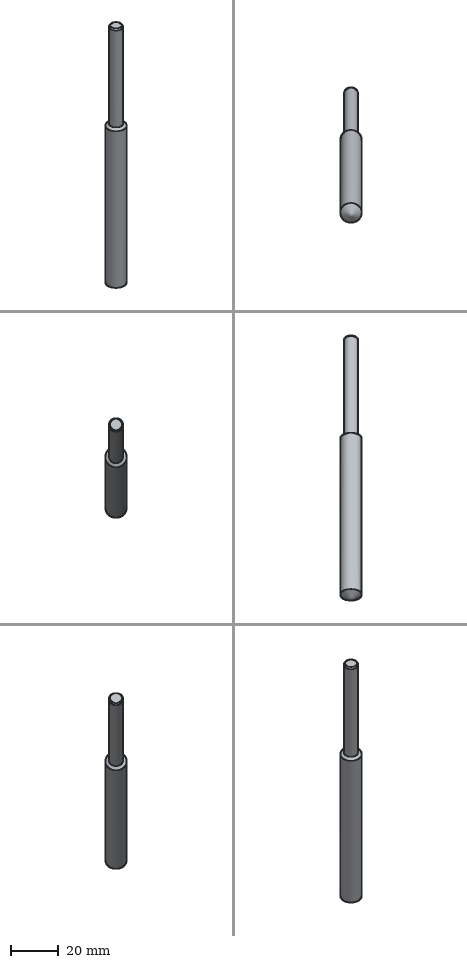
import cadquery as cq
import math

total_length = 131.0

barrel_radius = 9.0 / 2
point_angle = 118.0
point_height = barrel_radius / math.tan(math.radians(point_angle / 2))
shoulder_height = 0.9

stem_radius = 6.0 / 2
stem_length = 49.1
stem_chamfer_width = 0.5
stem_chamfer_height = 0.8

shoulder_top = total_length - stem_length
shoulder_edge = shoulder_top - shoulder_height


def make_barrel():
    """Pointed barrel, revolved about Z, with a flat seat as wide as the stem."""
    return (
        cq.Workplane("XZ")
        .moveTo(0, 0)
        .lineTo(barrel_radius, point_height)
        .lineTo(barrel_radius, shoulder_edge)
        .lineTo(stem_radius, shoulder_top)
        .lineTo(0, shoulder_top)
        .close()
        .revolve(360, (0, 0, 0), (0, 1, 0))
    )


def make_stem():
    """Rod with a chamfered free end, revolved about Z."""
    return (
        cq.Workplane("XZ")
        .moveTo(0, shoulder_top)
        .lineTo(stem_radius, shoulder_top)
        .lineTo(stem_radius, total_length - stem_chamfer_height)
        .lineTo(stem_radius - stem_chamfer_width, total_length)
        .lineTo(0, total_length)
        .close()
        .revolve(360, (0, 0, 0), (0, 1, 0))
    )


barrel = make_barrel()
stem = make_stem()

result = cq.Compound.makeCompound([barrel.val(), stem.val()])